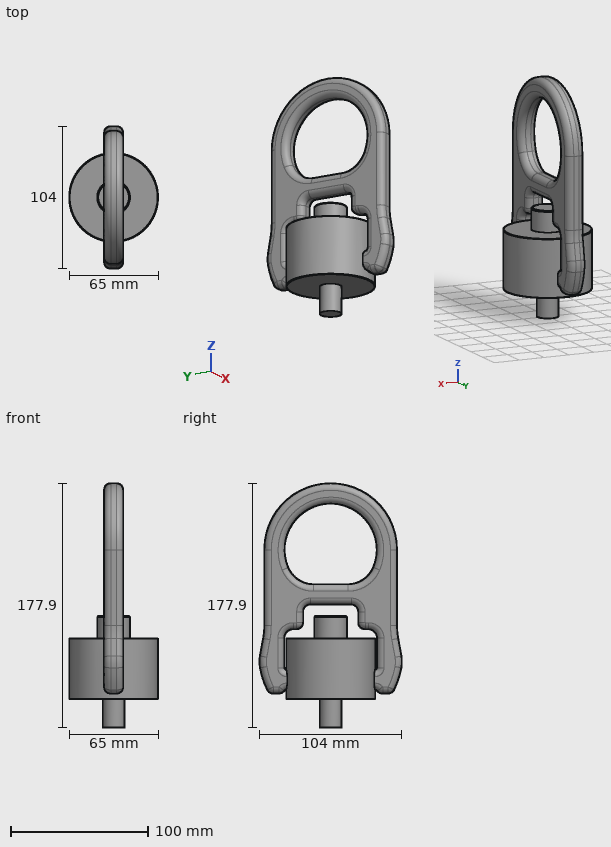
import cadquery as cq
import math


stud_diameter = 16.0
stud_length = 20.6
body_diameter = 65.0
body_height = 44.5
body_chamfer = 0.5
head_diameter = 24.0
head_height = 16.2
head_chamfer = 0.9

total_height = 177.9
plate_thickness = 14.0
edge_round = 5.0
shoulder_radius = 48.4
shoulder_z = total_height - shoulder_radius
eye_radius = 33.5
eye_corner_radius = 20.0
eye_floor_z = shoulder_z - 25.0

head_gap_half_width = 20.0
head_gap_top_z = 89.5
head_gap_corner_radius = 5.0
step_z = 71.5
step_corner_radius = 5.2
body_gap_half_width = 33.6
body_gap_corner_radius = 6.2

lug_inner_y = 21.3
lug_top_z = 42.3
lug_bottom_z = 27.5
lug_top_corner_radius = 1.5
lug_bottom_corner_radius = 1.8

bulge_half_width = 52.0
bulge_z = 48.0
bulge_radius = 24.0
flare_start_z = 74.4
flare_radius = 51.6
leg_bottom_z = 24.7
toe_radius = 5.2
toe_outer_y = 41.6


def arc_point(center, radius, degrees):
    """Point on a circle in the YZ plane, with the angle measured from +Y."""
    angle = math.radians(degrees)
    return (center[0] + radius * math.cos(angle), center[1] + radius * math.sin(angle))


def flare_lean():
    """Lean, in degrees, of the straight line tangent to both the flare and bulge arcs."""
    across = shoulder_radius + flare_radius - (bulge_half_width - bulge_radius)
    along = flare_start_z - bulge_z
    center_line_angle = math.degrees(math.atan2(along, across))
    offset_angle = math.degrees(math.acos((flare_radius + bulge_radius) / math.hypot(across, along)))
    return center_line_angle - offset_angle


def make_half_plate():
    """The +Y half of the eye plate with sharp edges and no eye."""
    lean = flare_lean()
    shoulder_center = (0, shoulder_z)
    flare_center = (shoulder_radius + flare_radius, flare_start_z)
    bulge_center = (bulge_half_width - bulge_radius, bulge_z)
    toe_center = (toe_outer_y, leg_bottom_z + toe_radius)

    bulge_end = arc_point(bulge_center, bulge_radius, -lean)
    normal = arc_point((0, 0), 1, -lean)
    to_toe = (toe_center[0] - bulge_end[0], toe_center[1] - bulge_end[1])
    toe_along_normal = to_toe[0] * normal[0] + to_toe[1] * normal[1]
    leg_radius = (toe_radius**2 - math.hypot(*to_toe) ** 2) / (2 * (toe_along_normal + toe_radius))
    leg_center = (bulge_end[0] - leg_radius * normal[0], bulge_end[1] - leg_radius * normal[1])
    toe_angle = math.degrees(math.atan2(toe_center[1] - leg_center[1], toe_center[0] - leg_center[0]))

    heel_rise = lug_bottom_z - lug_bottom_corner_radius - toe_center[1]
    heel_run = math.sqrt((toe_radius + lug_bottom_corner_radius) ** 2 - heel_rise**2)
    hollow_center = (body_gap_half_width - lug_top_corner_radius, lug_bottom_z - lug_bottom_corner_radius)
    heel_center = (hollow_center[0] + heel_run, toe_center[1])
    heel_angle = 180 - math.degrees(math.atan2(heel_rise, heel_run))

    profile = (
        cq.Workplane("YZ")
        .moveTo(0, head_gap_top_z)
        .lineTo(0, total_height)
        .threePointArc(arc_point(shoulder_center, shoulder_radius, 45), (shoulder_radius, shoulder_z))
        .lineTo(shoulder_radius, flare_start_z)
        .threePointArc(
            arc_point(flare_center, flare_radius, 180 + lean / 2),
            arc_point(flare_center, flare_radius, 180 + lean),
        )
        .lineTo(*arc_point(bulge_center, bulge_radius, lean))
        .threePointArc((bulge_half_width, bulge_z), bulge_end)
        .threePointArc(
            arc_point(leg_center, leg_radius, (toe_angle - lean) / 2),
            arc_point(leg_center, leg_radius, toe_angle),
        )
        .threePointArc(
            arc_point(toe_center, toe_radius, (toe_angle - 90) / 2),
            (toe_outer_y, leg_bottom_z),
        )
        .lineTo(heel_center[0], leg_bottom_z)
        .threePointArc(
            arc_point(heel_center, toe_radius, (heel_angle + 270) / 2),
            arc_point(heel_center, toe_radius, heel_angle),
        )
        .threePointArc(
            arc_point(hollow_center, lug_bottom_corner_radius, 45),
            (hollow_center[0], lug_bottom_z),
        )
        .lineTo(lug_inner_y, lug_bottom_z)
        .lineTo(lug_inner_y, lug_top_z)
        .lineTo(body_gap_half_width - lug_top_corner_radius, lug_top_z)
        .radiusArc((body_gap_half_width, lug_top_z + lug_top_corner_radius), -lug_top_corner_radius)
        .lineTo(body_gap_half_width, step_z - body_gap_corner_radius)
        .radiusArc((body_gap_half_width - body_gap_corner_radius, step_z), -body_gap_corner_radius)
        .lineTo(head_gap_half_width + step_corner_radius, step_z)
        .radiusArc((head_gap_half_width, step_z + step_corner_radius), step_corner_radius)
        .lineTo(head_gap_half_width, head_gap_top_z - head_gap_corner_radius)
        .radiusArc(
            (head_gap_half_width - head_gap_corner_radius, head_gap_top_z),
            -head_gap_corner_radius,
        )
        .close()
    )
    return profile.extrude(plate_thickness / 2, both=True)


def make_eye_cutter():
    """Round eye with a flat floor joined by tangent corner arcs."""
    center = (0, shoulder_z)
    corner_z = eye_floor_z + eye_corner_radius
    corner_y = math.sqrt((eye_radius - eye_corner_radius) ** 2 - (shoulder_z - corner_z) ** 2)
    corner_center = (corner_y, corner_z)
    join_angle = math.degrees(math.atan2(corner_z - shoulder_z, corner_y))
    join = arc_point(center, eye_radius, join_angle)
    corner_middle = arc_point(corner_center, eye_corner_radius, (join_angle - 90) / 2)
    return (
        cq.Workplane("YZ")
        .moveTo(-corner_y, eye_floor_z)
        .lineTo(corner_y, eye_floor_z)
        .threePointArc(corner_middle, join)
        .threePointArc((0, shoulder_z + eye_radius), (-join[0], join[1]))
        .threePointArc((-corner_middle[0], corner_middle[1]), (-corner_y, eye_floor_z))
        .close()
        .extrude(plate_thickness, both=True)
    )


def make_eye_plate():
    half = make_half_plate()
    plate = half.union(half.mirror("XZ")).clean().cut(make_eye_cutter())
    return plate.faces("<X or >X").edges().fillet(edge_round)


def make_swivel_body():
    stud = cq.Workplane("XY").circle(stud_diameter / 2).extrude(stud_length)
    body = (
        cq.Workplane("XY", origin=(0, 0, stud_length))
        .circle(body_diameter / 2)
        .extrude(body_height)
        .edges()
        .chamfer(body_chamfer)
    )
    head = (
        cq.Workplane("XY", origin=(0, 0, stud_length + body_height))
        .circle(head_diameter / 2)
        .extrude(head_height)
        .faces(">Z")
        .edges()
        .chamfer(head_chamfer)
    )
    return stud.union(body).union(head)


result = make_swivel_body().union(make_eye_plate())